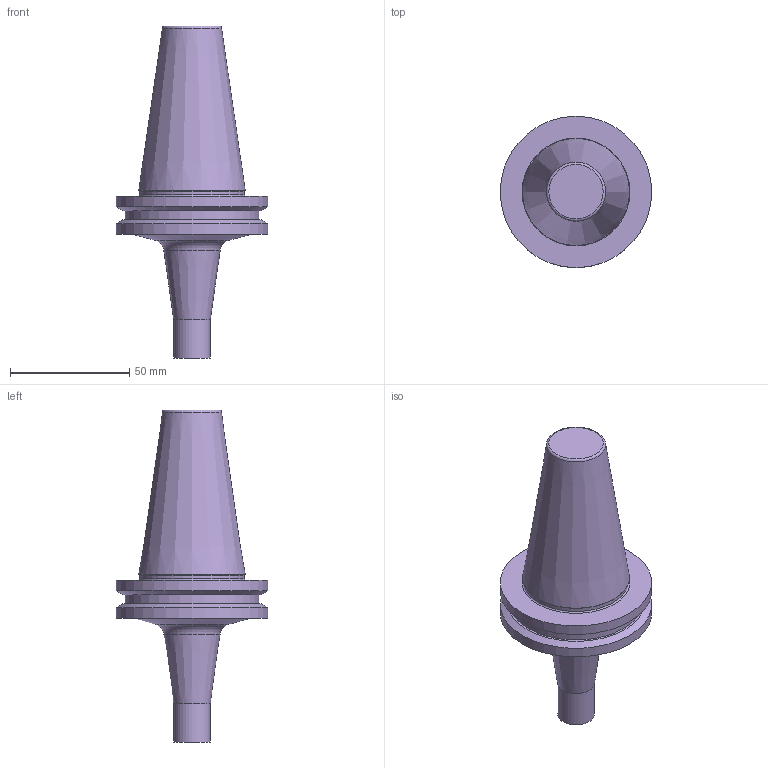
import cadquery as cq
import math


GAUGE_DIAMETER = 44.45
TAPER_RATIO = 7 / 24
TAPER_LENGTH = 68.25
TAPER_OVERRUN = 0.7
TIP_FILLET = 1.0

NECK_DIAMETER = 44.0
NECK_FILLET = 0.6

FLANGE_DIAMETER = 63.5
FLANGE_TOP = -3.18
FLANGE_BOTTOM = -19.05
GROOVE_DIAMETER = 56.0
GROOVE_CENTRE = -11.1
GROOVE_MOUTH = 7.1
GROOVE_FLOOR_WIDTH = 3.85
GROOVE_WALL_ANGLE = 30.0

HUB_DIAMETER = 50.0
HUB_ANGLE = 15.0
SHANK_DIAMETER = 15.4
SHANK_LENGTH = 16.0
OVERALL_LENGTH = 139.22
NOSE_ANGLE = 8.0
NOSE_FILLET = 5.0


def revolve(outline):
    """Turn a half outline around the Z axis."""
    return outline.revolve(360, (0, 0, 0), (0, 1, 0))


def taper_radius(z):
    """Radius of the 7:24 taper at height z."""
    return (GAUGE_DIAMETER - TAPER_RATIO * z) / 2


def make_taper():
    """Tapered shank with a rounded tip and a short neck filleted into the flange face."""
    neck_radius = NECK_DIAMETER / 2
    taper_end_radius = taper_radius(-TAPER_OVERRUN)
    chamfer_end = -TAPER_OVERRUN - (taper_end_radius - neck_radius)
    outline = (
        cq.Workplane("XZ")
        .moveTo(0, FLANGE_TOP)
        .lineTo(neck_radius + NECK_FILLET, FLANGE_TOP)
        .radiusArc((neck_radius, FLANGE_TOP + NECK_FILLET), NECK_FILLET)
        .lineTo(neck_radius, chamfer_end)
        .lineTo(taper_end_radius, -TAPER_OVERRUN)
        .lineTo(taper_radius(TAPER_LENGTH), TAPER_LENGTH)
        .lineTo(0, TAPER_LENGTH)
        .close()
    )
    return revolve(outline).faces(">Z").edges().fillet(TIP_FILLET)


def make_flange():
    """Disc with a groove around its rim: sloped walls lead to a deeper flat-sided channel."""
    rim_radius = FLANGE_DIAMETER / 2
    floor_radius = GROOVE_DIAMETER / 2
    half_mouth = GROOVE_MOUTH / 2
    half_floor = GROOVE_FLOOR_WIDTH / 2
    wall_depth = (half_mouth - half_floor) / math.tan(math.radians(GROOVE_WALL_ANGLE))
    wall_radius = rim_radius - wall_depth
    profile = [
        (0, FLANGE_BOTTOM),
        (rim_radius, FLANGE_BOTTOM),
        (rim_radius, GROOVE_CENTRE - half_mouth),
        (wall_radius, GROOVE_CENTRE - half_floor),
        (floor_radius, GROOVE_CENTRE - half_floor),
        (floor_radius, GROOVE_CENTRE + half_floor),
        (wall_radius, GROOVE_CENTRE + half_floor),
        (rim_radius, GROOVE_CENTRE + half_mouth),
        (rim_radius, FLANGE_TOP),
        (0, FLANGE_TOP),
    ]
    return revolve(cq.Workplane("XZ").polyline(profile).close())


def make_nose():
    """Shallow hub cone blended by a fillet into a slim cone and a cylindrical shank."""
    hub_radius = HUB_DIAMETER / 2
    shank_radius = SHANK_DIAMETER / 2
    shank_bottom = TAPER_LENGTH - OVERALL_LENGTH
    shank_top = shank_bottom + SHANK_LENGTH
    hub_slope = math.tan(math.radians(HUB_ANGLE))
    nose_slope = math.tan(math.radians(NOSE_ANGLE))

    hub_height_at_shank = FLANGE_BOTTOM - (hub_radius - shank_radius) * hub_slope
    corner_z = (hub_height_at_shank - hub_slope * nose_slope * shank_top) / (1 - hub_slope * nose_slope)
    corner_radius = shank_radius + (corner_z - shank_top) * nose_slope

    turn = math.radians(90 - HUB_ANGLE - NOSE_ANGLE)
    setback = NOSE_FILLET * math.tan(turn / 2)
    hub_angle = math.radians(HUB_ANGLE)
    nose_angle = math.radians(NOSE_ANGLE)
    fillet_top = (
        corner_radius + setback * math.cos(hub_angle),
        corner_z + setback * math.sin(hub_angle),
    )
    fillet_bottom = (
        corner_radius - setback * math.sin(nose_angle),
        corner_z - setback * math.cos(nose_angle),
    )
    outline = (
        cq.Workplane("XZ")
        .moveTo(0, FLANGE_BOTTOM)
        .lineTo(hub_radius, FLANGE_BOTTOM)
        .lineTo(*fillet_top)
        .tangentArcPoint(fillet_bottom, relative=False)
        .lineTo(shank_radius, shank_top)
        .lineTo(shank_radius, shank_bottom)
        .lineTo(0, shank_bottom)
        .close()
    )
    return revolve(outline)


result = make_taper().union(make_flange()).union(make_nose())